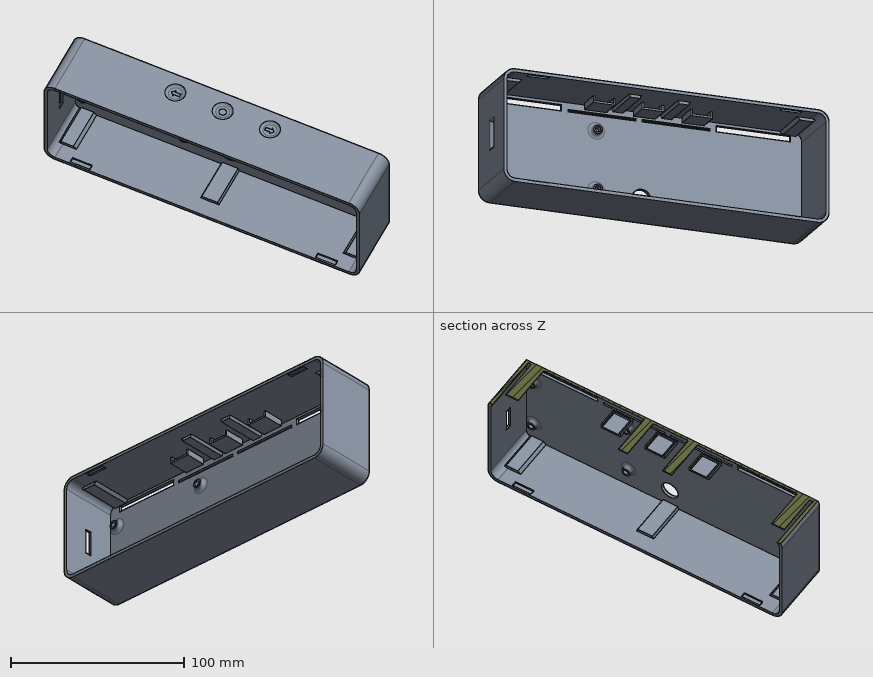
import cadquery as cq
import math

LENGTH = 202.0
DEPTH = 39.5
HEIGHT = 69.0
WALL = 2.0
CORNER_RADIUS = 6.9

INNER_LENGTH = LENGTH - 2 * WALL
INNER_TOP = HEIGHT / 2 - WALL
FRONT_Y = -DEPTH / 2
BACK_Y = DEPTH / 2
INNER_BACK_Y = BACK_Y - WALL

RIB_FRONT_Y = -9.3
RIB_HEIGHT = 1.8
CORNER_RIB_X = 91.3
CORNER_RIB_WIDTH = 11.7
CORNER_RIB_SLOPE = 1.8
CENTER_RIB_WIDTH = CORNER_RIB_WIDTH
SMALL_RIB_WIDTH = 7.7
SMALL_RIB_X = 15.2
NARROW_SLOPE = 0.8

BUTTON_SPACING = 30.3
BUTTON_Y = 7.9
DISH_RADIUS = 6.0
DISH_FLOOR_RADIUS = 4.0
DISH_DEPTH = 1.0
MARK_DEPTH = 0.2
MARK_DISC_RADIUS = 2.2
ARROW_TIP_X = 2.6
ARROW_HEAD_X = 0.6
ARROW_TAIL_X = -3.0
ARROW_SHAFT_WIDTH = 2.0
ARROW_HEAD_WIDTH = 4.0
HOLDER_WIDTH = 13.5
HOLDER_HEIGHT = 4.0
HOLDER_POCKET_WIDTH = 11.3
HOLDER_POCKET_HEIGHT = 2.8

STANDOFF_X = (-93.7, -28.7)
STANDOFF_Z = (-18.5, 17.5)
STANDOFF_BASE_RADIUS = 5.0
STANDOFF_RADIUS = 2.6
STANDOFF_HOLE_RADIUS = 1.6
STANDOFF_LENGTH = 3.2

SLOT_PITCH = 46.0
SLOT_GAP = 4.0
SLOT_BOTTOM = 27.0
TALL_SLOT_HEIGHT = 3.8
THIN_SLOT_HEIGHT = 1.5
CABLE_HOLE_DIAMETER = 11.3
CABLE_HOLE_X = -0.5
CABLE_HOLE_Z = -20.0

PLUG_Y = -1.2
PLUG_WIDTH = 4.0
PLUG_HEIGHT = 16.0
PLUG_EDGE_RADIUS = 1.5

GROOVE_X = 78.5
GROOVE_Y = -17.2
GROOVE_LENGTH = 12.5
GROOVE_WIDTH = 3.2
GROOVE_DEPTH = 1.0


def box_between(x_min, x_max, y_min, y_max, z_min, z_max):
    size = (x_max - x_min, y_max - y_min, z_max - z_min)
    return cq.Workplane("XY").box(*size, centered=False).translate((x_min, y_min, z_min))


def rounded_block(length, height, radius, y_min, y_max):
    block = cq.Workplane("XY").box(length, y_max - y_min, height)
    return block.edges("|Y").fillet(radius).translate((0, (y_min + y_max) / 2, 0))


def shell():
    outer = rounded_block(LENGTH, HEIGHT, CORNER_RADIUS, FRONT_Y, BACK_Y)
    cavity = rounded_block(INNER_LENGTH, 2 * INNER_TOP, CORNER_RADIUS - WALL, FRONT_Y, INNER_BACK_Y)
    return outer.cut(cavity)


def rib(x, width, slope, side):
    """Rib on the ceiling (side = 1) or the floor (side = -1), reaching the back wall."""
    root = side * (INNER_TOP + WALL / 2)
    base = side * INNER_TOP
    crest = side * (INNER_TOP - RIB_HEIGHT)
    half = width / 2
    outline = [
        (x - half, root),
        (x - half, base),
        (x - half + slope, crest),
        (x + half - slope, crest),
        (x + half, base),
        (x + half, root),
    ]
    profile = cq.Workplane("XZ", origin=(0, BACK_Y - WALL / 2, 0)).polyline(outline).close()
    return profile.extrude(BACK_Y - WALL / 2 - RIB_FRONT_Y)


def ribs():
    parts = rib(0, CENTER_RIB_WIDTH, NARROW_SLOPE, -1)
    for x in (-CORNER_RIB_X, CORNER_RIB_X):
        for side in (-1, 1):
            parts = parts.union(rib(x, CORNER_RIB_WIDTH, CORNER_RIB_SLOPE, side))
    for x in (-SMALL_RIB_X, SMALL_RIB_X):
        parts = parts.union(rib(x, SMALL_RIB_WIDTH, NARROW_SLOPE, 1))
    envelope = rounded_block(LENGTH, HEIGHT, CORNER_RADIUS, FRONT_Y, BACK_Y)
    return parts.intersect(envelope)


def switch_holder(x):
    """Square block under a button with a pocket open to the front."""
    half = HOLDER_WIDTH / 2
    pocket_half = HOLDER_POCKET_WIDTH / 2
    front = BUTTON_Y - half
    back = BUTTON_Y + half
    block = box_between(x - half, x + half, front, back, INNER_TOP - HOLDER_HEIGHT, INNER_TOP)
    pocket = box_between(
        x - pocket_half, x + pocket_half,
        front, BUTTON_Y + pocket_half,
        INNER_TOP - HOLDER_POCKET_HEIGHT, INNER_TOP,
    )
    return block.cut(pocket)


def arrow_outline(direction):
    """Arrow along X, pointing towards +X (direction = 1) or -X (direction = -1)."""
    tip = direction * ARROW_TIP_X
    head = direction * ARROW_HEAD_X
    tail = direction * ARROW_TAIL_X
    shaft_half = ARROW_SHAFT_WIDTH / 2
    head_half = ARROW_HEAD_WIDTH / 2
    return [
        (tail, -shaft_half),
        (head, -shaft_half),
        (head, -head_half),
        (tip, 0),
        (head, head_half),
        (head, shaft_half),
        (tail, shaft_half),
    ]


def button_dish(x):
    """Cutter for a flat-bottomed dish whose side curves up tangentially from the floor."""
    rise = DISH_RADIUS - DISH_FLOOR_RADIUS
    side_radius = (rise**2 + DISH_DEPTH**2) / (2 * DISH_DEPTH)
    half_profile = (
        cq.Workplane("XZ")
        .moveTo(0, -DISH_DEPTH)
        .lineTo(DISH_FLOOR_RADIUS, -DISH_DEPTH)
        .radiusArc((DISH_RADIUS, 0), -side_radius)
        .lineTo(0, 0)
        .close()
    )
    dish = half_profile.revolve(360, (0, 0, 0), (0, 1, 0)).translate((x, BUTTON_Y, HEIGHT / 2))
    floor = cq.Workplane("XY", origin=(x, BUTTON_Y, HEIGHT / 2 - DISH_DEPTH))
    if x == 0:
        mark = floor.circle(MARK_DISC_RADIUS)
    else:
        mark = floor.polyline(arrow_outline(math.copysign(1, x))).close()
    return dish.union(mark.extrude(-MARK_DEPTH))


def standoff(x, z):
    """Hollow post whose foot flares into the back wall."""
    flare_radius = STANDOFF_BASE_RADIUS - STANDOFF_RADIUS
    half_profile = (
        cq.Workplane("XY")
        .moveTo(STANDOFF_HOLE_RADIUS, 0)
        .lineTo(STANDOFF_BASE_RADIUS, 0)
        .radiusArc((STANDOFF_RADIUS, -flare_radius), -flare_radius)
        .lineTo(STANDOFF_RADIUS, -STANDOFF_LENGTH)
        .lineTo(STANDOFF_HOLE_RADIUS, -STANDOFF_LENGTH)
        .close()
    )
    post = half_profile.revolve(360, (0, 0, 0), (0, 1, 0))
    return post.translate((x, INNER_BACK_Y, z))


def back_openings():
    cable_center = (CABLE_HOLE_X, INNER_BACK_Y, CABLE_HOLE_Z)
    cuts = cq.Workplane("XZ", origin=cable_center).circle(CABLE_HOLE_DIAMETER / 2).extrude(-WALL)
    heights = (TALL_SLOT_HEIGHT, THIN_SLOT_HEIGHT, THIN_SLOT_HEIGHT, TALL_SLOT_HEIGHT)
    lengths = (SLOT_PITCH - SLOT_GAP,) * 3 + (SLOT_PITCH,)
    starts = (-2 * SLOT_PITCH, -SLOT_PITCH, 0, SLOT_PITCH)
    for start, height, length in zip(starts, heights, lengths):
        slot = box_between(start, start + length, INNER_BACK_Y, BACK_Y, SLOT_BOTTOM, SLOT_BOTTOM + height)
        cuts = cuts.union(slot)
    return cuts


def plug_opening():
    """Cutter for the opening: a local patch of wall with a rounded hole, taken from a full block."""
    margin = 2 * PLUG_EDGE_RADIUS
    outer_face = cq.Workplane("YZ", origin=(-LENGTH / 2, PLUG_Y, 0))
    block = outer_face.rect(PLUG_WIDTH + 2 * margin, PLUG_HEIGHT + 2 * margin).extrude(WALL)
    opening = outer_face.rect(PLUG_WIDTH, PLUG_HEIGHT).extrude(WALL)
    patch = block.cut(opening)
    opening_rim = patch.faces("<X").wires(cq.selectors.LengthNthSelector(0)).edges()
    return block.cut(opening_rim.fillet(PLUG_EDGE_RADIUS))


def snap_groove(x, side):
    """Shallow groove along X in the ceiling (side = 1) or the floor (side = -1)."""
    groove = cq.Workplane("XY").box(GROOVE_LENGTH, GROOVE_WIDTH, 2 * GROOVE_DEPTH)
    return groove.translate((x, GROOVE_Y, side * INNER_TOP))


result = shell().union(ribs())

for button_x in (-BUTTON_SPACING, 0, BUTTON_SPACING):
    result = result.union(switch_holder(button_x)).cut(button_dish(button_x))

for standoff_x in STANDOFF_X:
    for standoff_z in STANDOFF_Z:
        result = result.union(standoff(standoff_x, standoff_z))

result = result.cut(back_openings()).cut(plug_opening())

for groove_x in (-GROOVE_X, GROOVE_X):
    for groove_side in (-1, 1):
        result = result.cut(snap_groove(groove_x, groove_side))